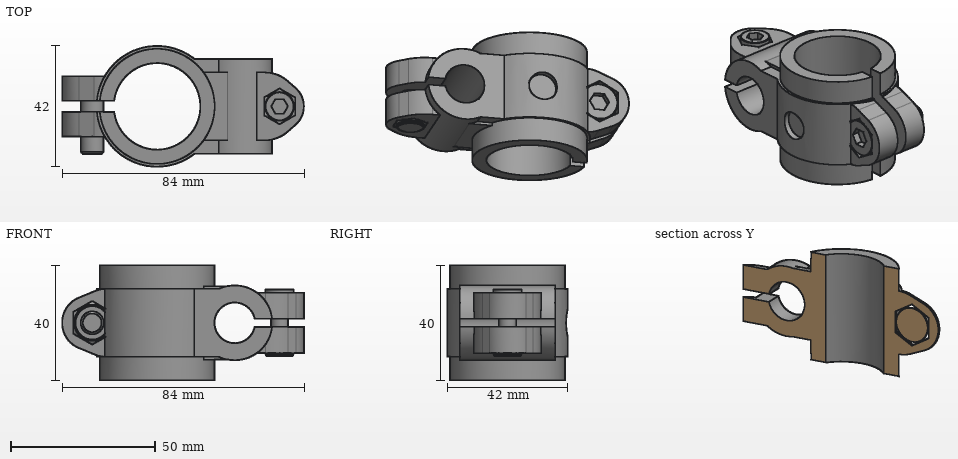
import cadquery as cq
import math

sleeve_diameter = 40.0
sleeve_height = 40.0
sleeve_bore = 30.0
band_diameter = 42.0
band_height = 23.5
sleeve_gap = 3.9
side_recess_diameter = 10.0
side_recess_depth = 2.5

rod_x = 27.0
rod_bore = 14.0
boss_diameter = 26.0
boss_width = 33.0
rod_gap = 2.8
pad_height = 25.5

ear_thickness = 21.0
ear_root_radius = band_height / 2
sleeve_ear_tip_radius = 9.5
sleeve_ear_tip_x = -23.5
sleeve_ear_root_x = -17.55
rod_ear_tip_radius = 8.5
rod_ear_tip_x = 42.5
rod_ear_root_x = 37.55

sleeve_bolt_x = -22.5
sleeve_bolt_diameter = 8.0
sleeve_bolt_end = 16.55
sleeve_bolt_chamfer = 0.75
sleeve_bolt_head = 12.9
sleeve_bolt_socket = 6.0
sleeve_nut_flats = 13.1
sleeve_nut_collar = 12.6
sleeve_nut_chamfer = (0.5, 0.25)
sleeve_fastener_top = 10.25

rod_bolt_x = rod_ear_tip_x
rod_bolt_diameter = 6.0
rod_bolt_head = 10.0
rod_bolt_socket = 5.0
rod_nut_flats = 10.75
rod_nut_collar = 9.6
rod_nut_chamfer = (0.3, 0.4)
rod_fastener_top = 11.6

nut_pocket_depth = 4.2
pocket_floor = ear_thickness / 2 - nut_pocket_depth
socket_depth = 2.5
collar_height = 0.8
nut_cone_slope = math.tan(math.radians(30))
head_chamfer = 0.2


def hexagon(flats, start, length, turn=0):
    """Hexagonal prism on Z; turn=0 puts its corners on the X axis."""
    corners = flats / math.cos(math.pi / 6)
    prism = cq.Workplane("XY").workplane(offset=start).polygon(6, corners).extrude(length)
    return prism.rotate((0, 0, 0), (0, 0, 1), turn)


def cylinder(diameter, start, length):
    return cq.Workplane("XY").workplane(offset=start).circle(diameter / 2).extrude(length)


def ear(tip_x, tip_radius, root_x, inner_x):
    """Ear pair with outline in XY: root arcs joined to a tip arc by common tangents."""
    outward = math.copysign(1, tip_x - root_x)
    lean = (ear_root_radius - tip_radius) / abs(tip_x - root_x)
    rise = math.sqrt(1 - lean**2)
    half_lean = math.sin(math.asin(lean) / 2)
    half_rise = math.sqrt(1 - half_lean**2)

    def on_root(along, across):
        return root_x + outward * ear_root_radius * along, ear_root_radius * across

    def on_tip(along, across):
        return tip_x + outward * tip_radius * along, tip_radius * across

    outline = (
        cq.Workplane("XY")
        .moveTo(inner_x, -ear_root_radius)
        .lineTo(*on_root(0, -1))
        .threePointArc(on_root(half_lean, -half_rise), on_root(lean, -rise))
        .lineTo(*on_tip(lean, -rise))
        .threePointArc(on_tip(1, 0), on_tip(lean, rise))
        .lineTo(*on_root(lean, rise))
        .threePointArc(on_root(half_lean, half_rise), on_root(0, 1))
        .lineTo(inner_x, ear_root_radius)
        .close()
    )
    return outline.extrude(ear_thickness / 2, both=True)


def to_sleeve_bolt(shape):
    """Move a shape built on Z to the sleeve bolt axis, with +Z turned to +Y."""
    return shape.rotate((0, 0, 0), (1, 0, 0), -90).translate((sleeve_bolt_x, 0, 0))


def to_rod_bolt(shape):
    return shape.translate((rod_bolt_x, 0, 0))


def nut_pockets(flats):
    """Hexagonal pockets in both outer faces of an ear pair."""
    upper = hexagon(flats, pocket_floor, nut_pocket_depth, 30)
    return upper.union(upper.mirror("XY"))


def nut(flats, collar, chamfer, top):
    """Nut at the -Z end: hexagon with coned corners below a round, chamfered collar."""
    chamfer_radial, chamfer_axial = chamfer
    corner_radius = flats / 2 / math.cos(math.pi / 6)
    shoulder = top - collar_height
    cone_start = shoulder - (corner_radius - collar / 2) * nut_cone_slope
    profile = (
        cq.Workplane("XZ")
        .moveTo(0, -pocket_floor)
        .lineTo(corner_radius, -pocket_floor)
        .lineTo(corner_radius, -cone_start)
        .lineTo(collar / 2, -shoulder)
        .lineTo(collar / 2, -top + chamfer_axial)
        .lineTo(collar / 2 - chamfer_radial, -top)
        .lineTo(0, -top)
        .close()
        .revolve(360, (0, 0, 0), (0, 1, 0))
    )
    return profile.intersect(hexagon(flats, -top, top - pocket_floor, 30))


def socket_head(diameter, socket_flats, top):
    """Socket head at the +Z end, standing on the pocket floor."""
    head = cylinder(diameter, pocket_floor, top - pocket_floor).faces(">Z").chamfer(head_chamfer)
    return head.cut(hexagon(socket_flats, top - socket_depth, socket_depth))


def sleeve_bolt():
    shank = cylinder(sleeve_bolt_diameter, -sleeve_bolt_end, sleeve_bolt_end + pocket_floor)
    shank = shank.faces("<Z").chamfer(sleeve_bolt_chamfer)
    bolt = shank.union(socket_head(sleeve_bolt_head, sleeve_bolt_socket, sleeve_fastener_top))
    sleeve_nut = nut(sleeve_nut_flats, sleeve_nut_collar, sleeve_nut_chamfer, sleeve_fastener_top)
    return to_sleeve_bolt(bolt.union(sleeve_nut))


def rod_bolt():
    shank = cylinder(rod_bolt_diameter, -pocket_floor, 2 * pocket_floor)
    bolt = shank.union(socket_head(rod_bolt_head, rod_bolt_socket, rod_fastener_top))
    rod_nut = nut(rod_nut_flats, rod_nut_collar, rod_nut_chamfer, rod_fastener_top)
    return to_rod_bolt(bolt.union(rod_nut))


def along_y(diameter, length):
    return cq.Workplane("XZ").circle(diameter / 2).extrude(length / 2, both=True)


sleeve = cylinder(sleeve_diameter, -sleeve_height / 2, sleeve_height)
band = cylinder(band_diameter, -band_height / 2, band_height)
boss = along_y(boss_diameter, boss_width).translate((rod_x, 0, 0))
web = cq.Workplane("XY").box(rod_x, boss_width, band_height).translate((rod_x / 2, 0, 0))
pad = cq.Workplane("XY").box(rod_x, band_height, pad_height).translate((rod_x / 2, 0, 0))
sleeve_ears = ear(sleeve_ear_tip_x, sleeve_ear_tip_radius, sleeve_ear_root_x, 0)
sleeve_ears = sleeve_ears.rotate((0, 0, 0), (1, 0, 0), 90)
rod_ears = ear(rod_ear_tip_x, rod_ear_tip_radius, rod_ear_root_x, rod_x)

body = sleeve.union(band).union(boss).union(web).union(pad).union(sleeve_ears).union(rod_ears)

reach = 50.4
bore = cylinder(sleeve_bore, -sleeve_height / 2, sleeve_height)
body = body.cut(bore.rotate((0, 0, 0), (0, 0, 1), 180))
body = body.cut(along_y(rod_bore, boss_width).translate((rod_x, 0, 0)))
sleeve_slot = cq.Workplane("XY").box(reach, sleeve_gap, sleeve_height)
body = body.cut(sleeve_slot.translate((-reach / 2, 0, 0)))
rod_slot = cq.Workplane("XY").box(reach, boss_width, rod_gap)
body = body.cut(rod_slot.translate((rod_x + reach / 2, 0, 0)))
side_recess = along_y(side_recess_diameter, 2 * side_recess_depth)
body = body.cut(side_recess.translate((0, band_diameter / 2, 0)))
body = body.cut(to_sleeve_bolt(nut_pockets(sleeve_nut_flats)))
body = body.cut(to_rod_bolt(nut_pockets(rod_nut_flats)))

result = body.union(sleeve_bolt()).union(rod_bolt())